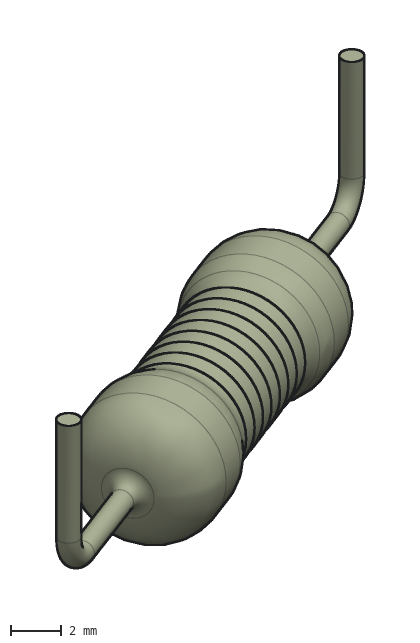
import cadquery as cq
import math

overall_length = 31.0
wire_diameter = 1.0
lead_top_height = 6.85
bend_radius = 1.5

cap_diameter = 6.5
barrel_diameter = 5.52
band_diameter = 5.55
body_half_length = 8.75
dome_length = 2.25
lead_fillet_radius = 0.62
shoulder_outer = 5.0
shoulder_inner = 3.13
band_count = 4

wire_radius = wire_diameter / 2
cap_radius = cap_diameter / 2
barrel_radius = barrel_diameter / 2
lead_y = overall_length / 2 - wire_radius
dome_start = body_half_length - dome_length
fillet_foot_radius = wire_radius + lead_fillet_radius
fillet_end = body_half_length + lead_fillet_radius
band_width = 2 * shoulder_inner / (2 * band_count - 1)
shoulder_rise = (cap_radius - barrel_radius) / 2
shoulder_run = (shoulder_outer - shoulder_inner) / 2
shoulder_radius = (shoulder_rise**2 + shoulder_run**2) / (2 * shoulder_rise)
shoulder_angle = math.asin(shoulder_run / shoulder_radius)
shoulder_sagitta = shoulder_radius * (1 - math.cos(shoulder_angle / 2))
diagonal = math.sqrt(0.5)


def make_end_cap():
    """Domed cap on +Y, with a fillet to the lead and an S-shaped shoulder to the barrel."""
    fillet_mid = (
        fillet_foot_radius - lead_fillet_radius * diagonal,
        fillet_end - lead_fillet_radius * diagonal,
    )
    shoulder_mid = (
        barrel_radius + shoulder_rise,
        shoulder_inner + shoulder_run,
    )
    return (
        cq.Workplane("XY")
        .moveTo(0, shoulder_inner)
        .lineTo(barrel_radius, shoulder_inner)
        .sagittaArc(shoulder_mid, shoulder_sagitta)
        .sagittaArc((cap_radius, shoulder_outer), -shoulder_sagitta)
        .lineTo(cap_radius, dome_start)
        .tangentArcPoint((fillet_foot_radius, body_half_length), relative=False)
        .threePointArc(fillet_mid, (wire_radius, fillet_end))
        .lineTo(0, fillet_end)
        .close()
        .revolve(360, (0, 0), (0, 1))
    )


def make_disc(diameter, start_y, length):
    """Cylinder on the body axis, running toward +Y from start_y."""
    return (
        cq.Workplane("XZ", origin=(0, start_y, 0))
        .circle(diameter / 2)
        .extrude(-length)
    )


def make_lead():
    """Wire on +Y: straight out of the body, then bent upward."""
    bend_start = lead_y - bend_radius
    bend_mid = (bend_start + bend_radius * diagonal, bend_radius * (1 - diagonal))
    path = (
        cq.Workplane("YZ")
        .moveTo(body_half_length, 0)
        .lineTo(bend_start, 0)
        .threePointArc(bend_mid, (lead_y, bend_radius))
        .lineTo(lead_y, lead_top_height)
    )
    return (
        cq.Workplane("XZ", origin=(0, body_half_length, 0))
        .circle(wire_radius)
        .sweep(path)
    )


half = make_end_cap().union(make_lead())
barrel = make_disc(barrel_diameter, -shoulder_inner, 2 * shoulder_inner)
result = barrel.union(half).union(half.mirror("XZ"))
for index in range(band_count):
    band_start = -shoulder_inner + 2 * index * band_width
    result = result.union(make_disc(band_diameter, band_start, band_width))